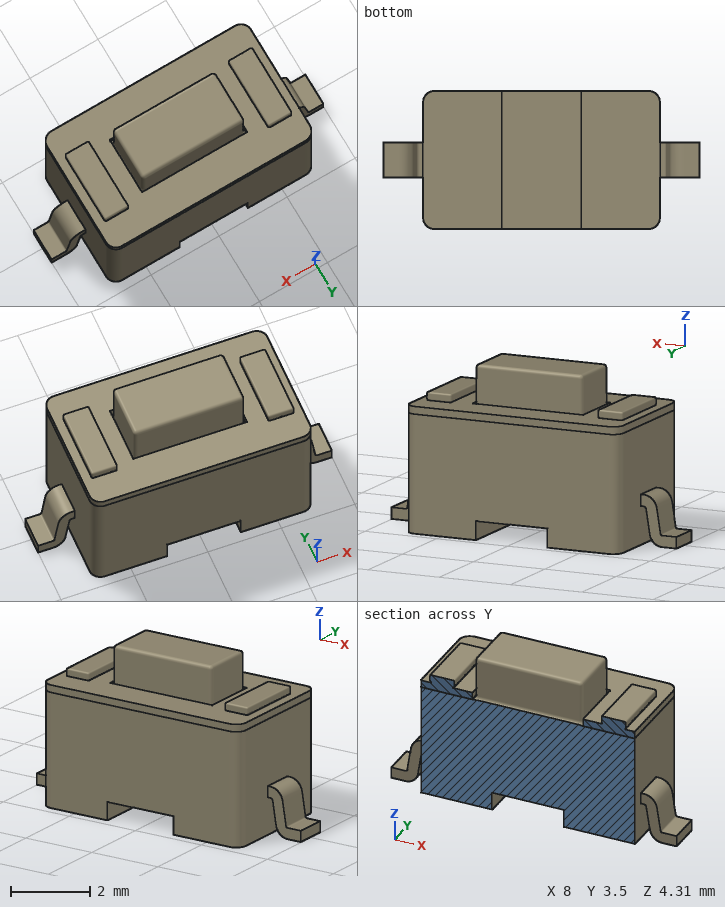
import cadquery as cq
import math

overall_length = 8.0
overall_height = 4.31

housing_length = 6.0
housing_width = 3.5
housing_height = 3.3
corner_radius = 0.3
cover_thickness = 0.2
base_height = housing_height - cover_thickness

channel_length = 2.0
channel_height = 0.5

button_length = 3.0
button_width = 1.5
button_fillet = 0.1
window_gap = 0.05
window_length = button_length + 2 * window_gap
window_width = button_width + 2 * window_gap
button_foot_fillet = button_fillet

bar_length = 0.7
bar_width = 2.0
bar_height = 0.22
bar_spacing = 4.81
bar_fillet = 0.05

lead_width = 0.9
lead_thickness = 0.3
lead_top = 1.31
upper_bend_radius = 0.07
lower_bend_radius = 0.05
lead_foot_length = 0.4
lead_lean = math.radians(9)
lead_embed = corner_radius


def plate(height, bottom):
    """Rounded rectangular slab with the housing outline."""
    return (
        cq.Workplane("XY")
        .workplane(offset=bottom)
        .rect(housing_length, housing_width)
        .extrude(height)
        .edges("|Z")
        .fillet(corner_radius)
    )


def polar(center, radius, angle):
    """Point at the given radius and angle around a center."""
    return (center[0] + radius * math.cos(angle), center[1] + radius * math.sin(angle))


def make_lead():
    """S-shaped lead at the -X end, with its foot level with the base underside."""
    tip_x = -overall_length / 2
    inner_end_x = -housing_length / 2 + lead_embed
    lower_outer_radius = lower_bend_radius + lead_thickness
    upper_outer_radius = upper_bend_radius + lead_thickness

    lower_center = (tip_x + lead_foot_length, lower_outer_radius)
    upper_z = lead_top - upper_outer_radius
    rise = upper_z - lower_center[1]
    upper_x = (
        lower_center[0]
        + rise * math.tan(lead_lean)
        + (upper_outer_radius + lower_bend_radius) / math.cos(lead_lean)
    )
    upper_center = (upper_x, upper_z)

    toward_housing = -lead_lean
    toward_tip = math.pi - lead_lean
    lower_middle = (toward_housing - math.pi / 2) / 2
    upper_middle = (toward_tip + math.pi / 2) / 2

    return (
        cq.Workplane("XZ")
        .moveTo(tip_x, 0)
        .lineTo(lower_center[0], 0)
        .threePointArc(
            polar(lower_center, lower_outer_radius, lower_middle),
            polar(lower_center, lower_outer_radius, toward_housing),
        )
        .lineTo(*polar(upper_center, upper_bend_radius, toward_tip))
        .threePointArc(
            polar(upper_center, upper_bend_radius, upper_middle),
            (upper_x, upper_z + upper_bend_radius),
        )
        .lineTo(inner_end_x, upper_z + upper_bend_radius)
        .lineTo(inner_end_x, lead_top)
        .lineTo(upper_x, lead_top)
        .threePointArc(
            polar(upper_center, upper_outer_radius, upper_middle),
            polar(upper_center, upper_outer_radius, toward_tip),
        )
        .lineTo(*polar(lower_center, lower_bend_radius, toward_housing))
        .threePointArc(
            polar(lower_center, lower_bend_radius, lower_middle),
            (lower_center[0], lead_thickness),
        )
        .lineTo(tip_x, lead_thickness)
        .close()
        .extrude(lead_width / 2, both=True)
    )


def make_button():
    """Button block with rounded upright and top edges."""
    return (
        cq.Workplane("XY")
        .workplane(offset=base_height)
        .rect(button_length, button_width)
        .extrude(overall_height - base_height)
        .edges("|Z or >Z")
        .fillet(button_fillet)
    )


def make_base():
    """Base block with its underside channel, foot-filleted button and two leads."""
    channel = cq.Workplane("XY").box(
        channel_length, housing_width, channel_height, centered=(True, True, False)
    )
    button_foot = cq.selectors.BoxSelector(
        (-window_length / 2, -window_width / 2, base_height - window_gap),
        (window_length / 2, window_width / 2, base_height + window_gap),
    )
    base = (
        plate(base_height, 0)
        .cut(channel)
        .union(make_button())
        .edges(button_foot)
        .fillet(button_foot_fillet)
    )
    lead = make_lead()
    for end_lead in (lead, lead.mirror("YZ")):
        base = base.union(end_lead)
    return base


def make_bar(x):
    """Raised bar with every edge rounded, resting on the cover."""
    return (
        cq.Workplane("XY")
        .box(bar_length, bar_width, bar_height, centered=(True, True, False))
        .edges()
        .fillet(bar_fillet)
        .translate((x, 0, housing_height))
    )


def make_cover():
    """Cover plate with the button window and the two raised bars."""
    window = (
        cq.Workplane("XY")
        .workplane(offset=base_height)
        .rect(window_length, window_width)
        .extrude(cover_thickness)
    )
    cover = plate(cover_thickness, base_height).cut(window)
    for side in (-1, 1):
        cover = cover.union(make_bar(side * bar_spacing / 2))
    return cover


cover = make_cover()
base = make_base().cut(cover)
result = cq.Compound.makeCompound([base.val(), cover.val()])